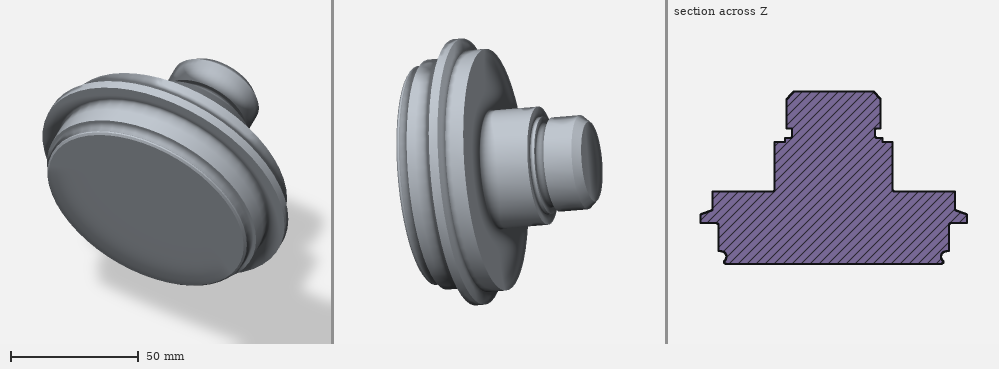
import cadquery as cq
import math

total_length = 67.8
lip_bevel_length = 0.6
groove_floor_start = 2.8
disc_front = 5.0
flange_front = 16.0
flange_rim_end = 19.6
flange_taper_end = 21.4
collar_end = 28.7
shoulder_end = 48.0
ring_end = 49.7
head_start = 53.2
head_bevel_length = 3.1

face_radius = 42.2
lip_radius = 43.1
front_groove_radius = 42.2
disc_radius = 45.3
flange_radius = 52.4
collar_radius = 47.6
shoulder_radius = 23.3
ring_radius = 19.2
neck_radius = 16.3
head_radius = 18.5
head_end_radius = 15.7

groove_fillet = 1.9
flange_root = 0.7
shoulder_root = 0.4
neck_root = 0.5


def root_arc_middle(radius, y, fillet, y_side):
    """Middle of a concave quarter arc between a cylinder and an end wall.

    y is the wall station; y_side is the direction from the wall into open space.
    """
    inset = fillet * (1 - math.sqrt(0.5))
    return (radius + inset, y + y_side * inset)


def lip_arc_point(angle):
    """Point on the arc from groove floor to lip, at an angle (radians) from the floor."""
    return (
        front_groove_radius + groove_fillet * (1 - math.cos(angle)),
        groove_floor_start - groove_fillet * math.sin(angle),
    )


lip_angle = math.acos(1 - (lip_radius - front_groove_radius) / groove_fillet)

section = (
    cq.Workplane("XY")
    .moveTo(0, 0)
    .lineTo(face_radius, 0)
    .lineTo(lip_radius, lip_bevel_length)
    .lineTo(*lip_arc_point(lip_angle))
    .threePointArc(lip_arc_point(lip_angle / 2), lip_arc_point(0))
    .lineTo(front_groove_radius, disc_front - groove_fillet)
    .threePointArc(
        root_arc_middle(front_groove_radius, disc_front, groove_fillet, -1),
        (front_groove_radius + groove_fillet, disc_front),
    )
    .lineTo(disc_radius, disc_front)
    .lineTo(disc_radius, flange_front - flange_root)
    .threePointArc(
        root_arc_middle(disc_radius, flange_front, flange_root, -1),
        (disc_radius + flange_root, flange_front),
    )
    .lineTo(flange_radius, flange_front)
    .lineTo(flange_radius, flange_rim_end)
    .lineTo(collar_radius, flange_taper_end)
    .lineTo(collar_radius, collar_end)
    .lineTo(shoulder_radius + shoulder_root, collar_end)
    .threePointArc(
        root_arc_middle(shoulder_radius, collar_end, shoulder_root, 1),
        (shoulder_radius, collar_end + shoulder_root),
    )
    .lineTo(shoulder_radius, shoulder_end)
    .lineTo(ring_radius, shoulder_end)
    .lineTo(ring_radius, ring_end)
    .lineTo(neck_radius + neck_root, ring_end)
    .threePointArc(
        root_arc_middle(neck_radius, ring_end, neck_root, 1),
        (neck_radius, ring_end + neck_root),
    )
    .lineTo(neck_radius, head_start - neck_root)
    .threePointArc(
        root_arc_middle(neck_radius, head_start, neck_root, -1),
        (neck_radius + neck_root, head_start),
    )
    .lineTo(head_radius, head_start)
    .lineTo(head_radius, total_length - head_bevel_length)
    .lineTo(head_end_radius, total_length)
    .lineTo(0, total_length)
    .close()
)

result = section.revolve(360, (0, 0, 0), (0, 1, 0))